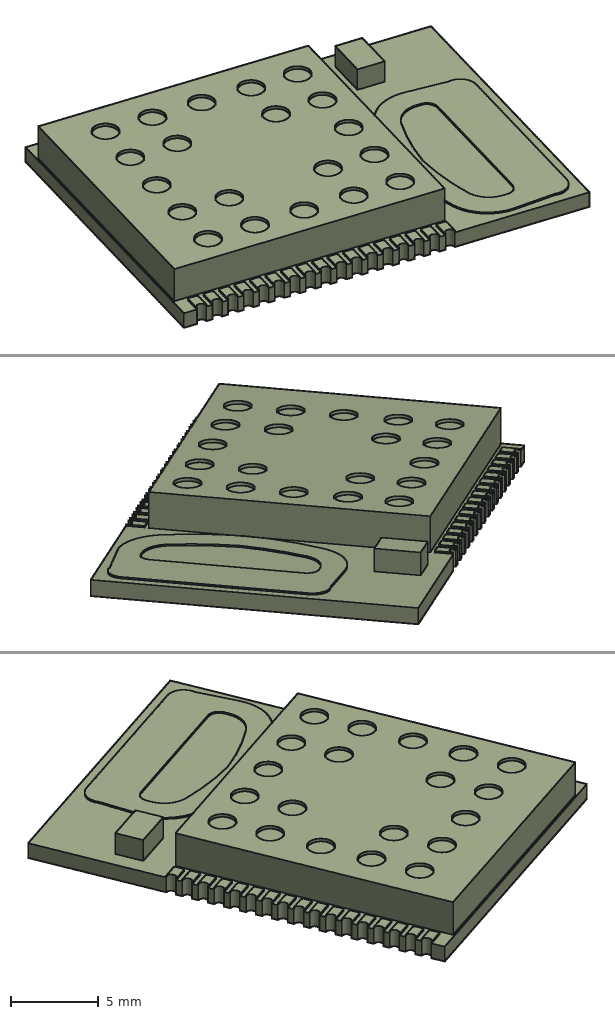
import cadquery as cq

BOARD_WIDTH = 19.13
BOARD_LENGTH = 26.12
BOARD_THICKNESS = 1.0
TOTAL_HEIGHT = 3.2
METAL_THICKNESS = 0.1

CAN_WIDTH = 16.45
CAN_LENGTH = 17.4
CAN_FRONT_GAP = 0.1
CAN_HEIGHT = TOTAL_HEIGHT - BOARD_THICKNESS
VENT_DIAMETER = 1.6
VENT_DEPTH = 0.2
VENT_COLUMNS_X = (-5.97, -2.97, 0.2, 3.3, 6.4)
VENT_ROWS_Y = (-9.82, -6.8, -3.63, -0.44, 2.55)
VENT_LAYOUT = (
    "OOOOO",
    "OO.OO",
    "O...O",
    "OO.OO",
    "OOOOO",
)

CONTACT_COUNT = 17
CONTACT_PITCH = 1.0
FIRST_CONTACT_INSET = 1.15
FIRST_CONTACT_Y = -BOARD_LENGTH / 2 + FIRST_CONTACT_INSET
NOTCH_RADIUS = 0.3
PAD_LENGTH = 1.1
PAD_WIDTH = 0.65

CHIP_WIDTH = 2.7
CHIP_LENGTH = 1.75
CHIP_HEIGHT = 1.4
CHIP_X = -7.17
CHIP_Y = 7.2

ANTENNA_X = 2.45
OUTER_LOOP = {
    "top": 12.47,
    "flat_end": 5.45,
    "shoulder": (6.45, 11.2),
    "side": (6.65, 8.5),
    "hip": (4.72, 5.53),
    "bottom": 4.63,
}
INNER_LOOP = {
    "top": 9.48,
    "flat_end": 4.5,
    "shoulder": (5.2, 8.7),
    "side": (5.2, 8.5),
    "hip": (4.0, 6.87),
    "bottom": 6.15,
}


def block(width, length, height, x, y, z):
    """Box centred on (x, y) that stands on height z."""
    return cq.Workplane("XY").box(width, length, height, centered=(True, True, False)).translate((x, y, z))


def contact_points(x):
    """Centres of one row of edge contacts at the given X."""
    return [(x, FIRST_CONTACT_Y + i * CONTACT_PITCH) for i in range(CONTACT_COUNT)]


def make_edge_contacts(board):
    """Add the pads on both sides, then cut the half-round notches through pads and board."""
    board_edge = BOARD_WIDTH / 2
    for side in (-1, 1):
        pads = (
            cq.Workplane("XY", origin=(0, 0, BOARD_THICKNESS))
            .pushPoints(contact_points(side * (board_edge - PAD_LENGTH / 2)))
            .rect(PAD_LENGTH, PAD_WIDTH)
            .extrude(METAL_THICKNESS)
        )
        notches = (
            cq.Workplane("XY")
            .pushPoints(contact_points(side * board_edge))
            .circle(NOTCH_RADIUS)
            .extrude(BOARD_THICKNESS + METAL_THICKNESS)
        )
        board = board.union(pads).cut(notches)
    return board


def make_can():
    """Shield can with shallow round recesses in its top."""
    can_y = (CAN_LENGTH - BOARD_LENGTH) / 2 + CAN_FRONT_GAP
    can = block(CAN_WIDTH, CAN_LENGTH, CAN_HEIGHT, 0, can_y, BOARD_THICKNESS)
    vent_points = [
        (x, y)
        for y, row in zip(VENT_ROWS_Y, VENT_LAYOUT)
        for x, mark in zip(VENT_COLUMNS_X, row)
        if mark == "O"
    ]
    vents = (
        cq.Workplane("XY", origin=(0, 0, TOTAL_HEIGHT - VENT_DEPTH))
        .pushPoints(vent_points)
        .circle(VENT_DIAMETER / 2)
        .extrude(VENT_DEPTH)
    )
    return can.cut(vents)


def loop_plate(loop):
    """Bowl-shaped plate: flat top, rounded shoulders and a wide curved bottom."""
    half = (
        cq.Workplane("XY")
        .moveTo(0, loop["top"])
        .lineTo(loop["flat_end"], loop["top"])
        .tangentArcPoint(loop["shoulder"], relative=False)
        .lineTo(*loop["side"])
        .tangentArcPoint(loop["hip"], relative=False)
        .tangentArcPoint((0, loop["bottom"]), relative=False)
        .close()
        .extrude(METAL_THICKNESS)
    )
    return half.union(half.mirror("YZ")).translate((ANTENNA_X, 0, BOARD_THICKNESS))


def make_antenna():
    """Flat metal loop with an opening down to the board."""
    return loop_plate(OUTER_LOOP).cut(loop_plate(INNER_LOOP))


board = block(BOARD_WIDTH, BOARD_LENGTH, BOARD_THICKNESS, 0, 0, 0)
chip = block(CHIP_WIDTH, CHIP_LENGTH, CHIP_HEIGHT, CHIP_X, CHIP_Y, BOARD_THICKNESS)
result = make_edge_contacts(board).union(make_can()).union(chip).union(make_antenna())